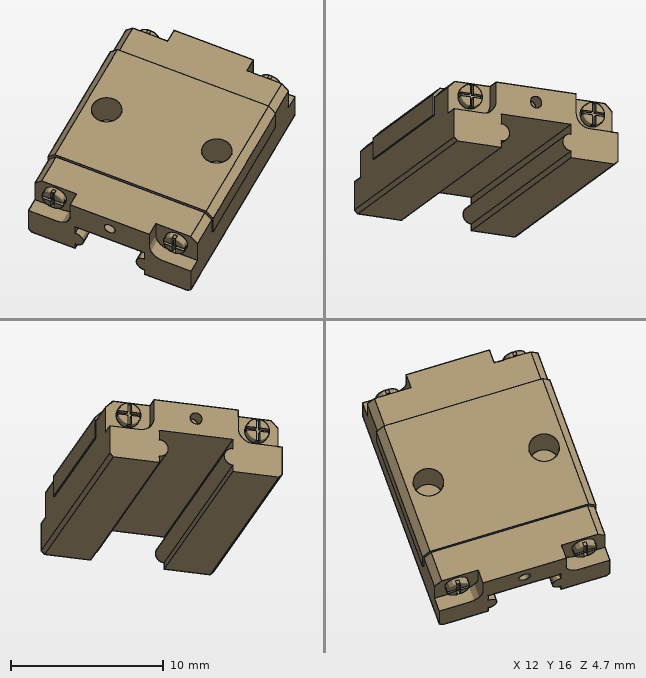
import cadquery as cq

length = 16.0
body_width = 11.8
body_height = 4.5
top_chamfer = 0.5
bottom_chamfer = 0.24

cap_width = 12.0
cap_length = 9.63
cap_top = 4.7
cap_bottom = 2.75
cap_chamfer = 0.51

slot_width = 5.02
slot_height = 2.32
ridge_radius = 0.6
ridge_height = 1.05

mount_hole_diameter = 2.0
mount_hole_spacing = 8.0
mount_hole_depth = 2.4

recess_depth = 1.0
recess_inner_x = 2.88
recess_floor = 2.2
recess_radius = 1.0

screw_height = 3.5
screw_spacing = 8.8
screw_head_diameter = 1.58
screw_head_thickness = 0.5
screw_edge_radius = 0.11
drive_slot_length = 1.55
drive_slot_width = 0.24
drive_slot_depth = 0.32

end_hole_diameter = 0.8
end_hole_depth = 1.0

END_SIDES = (-1, 1)
FLANK_SIDES = (-1, 1)


def bar(width, bar_length, bottom, top):
    """Box centred on X and Y, spanning bottom to top in Z."""
    return cq.Workplane("XY", origin=(0, 0, bottom)).rect(width, bar_length).extrude(top - bottom)


def make_block():
    body = bar(body_width, length, 0, body_height)
    body = body.edges("|Y and >Z").chamfer(top_chamfer)
    body = body.edges("|Y and <Z").chamfer(bottom_chamfer)
    cap = bar(cap_width, cap_length, cap_bottom, cap_top)
    cap = cap.edges("|Y and >Z").chamfer(cap_chamfer)
    return body.union(cap).cut(bar(slot_width, length, 0, slot_height))


def make_ridge(flank):
    centre = (flank * slot_width / 2, length / 2, ridge_height)
    return cq.Workplane("XZ", origin=centre).circle(ridge_radius).extrude(length)


def make_mount_holes():
    return (
        cq.Workplane("XY", origin=(0, 0, cap_top))
        .pushPoints([(flank * mount_hole_spacing / 2, 0) for flank in FLANK_SIDES])
        .circle(mount_hole_diameter / 2)
        .extrude(-mount_hole_depth)
    )


def make_recess(end, flank):
    """Corner cut-out with a rounded lower inner edge, open to the top, flank and end."""
    width = cap_width / 2 - recess_inner_x
    height = cap_top - recess_floor
    centre = (
        flank * (recess_inner_x + width / 2),
        end * (length - recess_depth) / 2,
        recess_floor + height / 2,
    )
    inner_side = "<X" if flank > 0 else ">X"
    recess = cq.Workplane("XY", origin=centre).box(width, recess_depth, height)
    return recess.edges(f"|Y and <Z and {inner_side}").fillet(recess_radius)


def end_plane(end, x, y):
    """Work plane at screw height whose normal points out of the given end."""
    return cq.Workplane(cq.Plane(origin=(x, end * y, screw_height), xDir=(1, 0, 0), normal=(0, end, 0)))


def make_screw_head(end, flank):
    x = flank * screw_spacing / 2
    seat = length / 2 - recess_depth
    head = end_plane(end, x, seat).circle(screw_head_diameter / 2).extrude(screw_head_thickness)
    head = head.faces(">Y" if end > 0 else "<Y").fillet(screw_edge_radius)
    head_face = end_plane(end, x, seat + screw_head_thickness)
    for slot_size in (
        (drive_slot_length, drive_slot_width),
        (drive_slot_width, drive_slot_length),
    ):
        head = head.cut(head_face.rect(*slot_size).extrude(-drive_slot_depth))
    return head


def make_end_hole(end):
    return end_plane(end, 0, length / 2).circle(end_hole_diameter / 2).extrude(-end_hole_depth)


result = make_block().cut(make_mount_holes())
for side in FLANK_SIDES:
    result = result.union(make_ridge(side))
for end_side in END_SIDES:
    result = result.cut(make_end_hole(end_side))
    for side in FLANK_SIDES:
        result = result.cut(make_recess(end_side, side))
        result = result.union(make_screw_head(end_side, side))